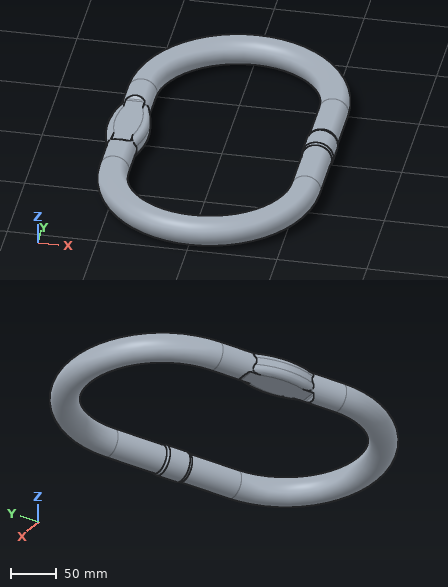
import cadquery as cq
import math

wire_diameter = 33.0
inner_width = 180.0
inner_length = 340.0
wire_radius = wire_diameter / 2
bend_radius = (inner_width + wire_diameter) / 2
straight_half = (inner_length - inner_width) / 2

collar_diameter = 35.48
collar_radius = collar_diameter / 2
collar_half_length = 16.5
collar_land_half_length = 12.9

flat_height = 12.7
ramp_foot = 41.4
ramp_angle = 42.0
ramp_blend_radius = 3.2
bulge_half_width = 23.02
bulge_half_length = 40.0
bulge_arc_radius = 101.5
bulge_edge_radius = 8.2


def make_ring():
    """Round wire swept around an oval of two straight legs and two half circles."""
    path = (
        cq.Workplane("XY")
        .moveTo(-bend_radius, -straight_half)
        .lineTo(-bend_radius, straight_half)
        .threePointArc((0, straight_half + bend_radius), (bend_radius, straight_half))
        .lineTo(bend_radius, -straight_half)
        .threePointArc((0, -straight_half - bend_radius), (-bend_radius, -straight_half))
        .close()
    )
    section = cq.Workplane("XZ", origin=(-bend_radius, -straight_half, 0)).circle(wire_radius)
    return section.sweep(path)


def make_collar():
    """Raised weld band with a conical run-out to the wire at both ends."""
    profile = (
        cq.Workplane("XY", origin=(bend_radius, 0, 0))
        .moveTo(0, -collar_half_length)
        .lineTo(wire_radius, -collar_half_length)
        .lineTo(collar_radius, -collar_land_half_length)
        .lineTo(collar_radius, collar_land_half_length)
        .lineTo(wire_radius, collar_half_length)
        .lineTo(0, collar_half_length)
        .close()
    )
    return profile.revolve(360, (0, 0, 0), (0, 1, 0))


def make_flat_cutter(side):
    """Material above one flat (side is +1 or -1), with ramped ends blended into the flat."""
    floor = side * flat_height
    top = side * collar_radius
    ramp_run = (collar_radius - flat_height) / math.tan(math.radians(ramp_angle))
    top_half_length = ramp_foot + ramp_run
    cutter = (
        cq.Workplane("YZ", origin=(-bend_radius, 0, 0))
        .moveTo(-ramp_foot, floor)
        .lineTo(ramp_foot, floor)
        .lineTo(top_half_length, top)
        .lineTo(-top_half_length, top)
        .close()
        .extrude(wire_radius, both=True)
    )
    floor_face = "<Z" if side > 0 else ">Z"
    return cutter.faces(floor_face).edges("|X").fillet(ramp_blend_radius)


def make_bulge():
    """Pad with barrel-shaped sides, rounded along its long edges; its ends sink into the wire."""
    drop = bulge_arc_radius - math.sqrt(bulge_arc_radius**2 - bulge_half_length**2)
    end_half_width = bulge_half_width - drop
    return (
        cq.Workplane("XY", origin=(-bend_radius, 0, 0))
        .moveTo(-end_half_width, -bulge_half_length)
        .threePointArc((-bulge_half_width, 0), (-end_half_width, bulge_half_length))
        .lineTo(end_half_width, bulge_half_length)
        .threePointArc((bulge_half_width, 0), (end_half_width, -bulge_half_length))
        .close()
        .extrude(flat_height, both=True)
        .edges("%CIRCLE")
        .fillet(bulge_edge_radius)
    )


ring = make_ring().union(make_collar())
for side in (1, -1):
    ring = ring.cut(make_flat_cutter(side))
result = ring.union(make_bulge())